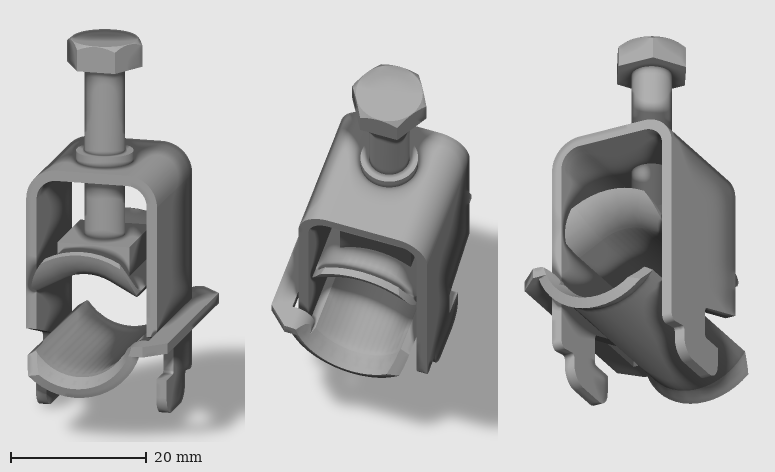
import cadquery as cq
import math

total_height = 56.75
sheet = 1.6

frame_width = 20.0
frame_front = -7.5
frame_back = 12.5
frame_top = 38.1
frame_bend_radius = 4.6
lip_height = 5.6
slot_top = 10.55
slope_front = 13.6
hook_front = -2.0
slot_back = 2.0
hook_back = 8.5
heel_front = 4.35
heel_back = 3.65
hook_radius = 2.8
heel_radius = 1.0
slot_top_radius = 0.85
corner_radius = 0.45

hexagon_half_angle = 30
head_flats = 10.0
head_height = 4.0
head_chamfer_drop = 0.75
head_face_diameter = 9.9
shank_diameter = 6.0
washer_diameter = 8.5
washer_height = 1.55

pad_width = 11.0
pad_length = 13.05
pad_top = 26.85
saddle_sheet = 1.1
saddle_top = 24.2
saddle_arch_radius = 8.85
saddle_arch_angle = 28.0
saddle_half_width = 8.0
saddle_straight = 8.6
rim_radius = 4.35
rim_angle = 75.0
rim_corner_bulge = 0.3

trough_length = 35.0
trough_radius = 9.4
trough_bottom = 7.2
trough_angle = 57.0
flare_start = 14.75
flare_angle = 22.0
tip_cut_angle = 45.0
arm_angle = 88.0
flange_top = 14.9
flange_edge = 13.5
flange_inner_edge = 10.45
flange_chamfer = 3.0
window_half_length = 13.9
flange_bend_end = 9.8
flange_bend_radius = 2.85

OVER = 5.7
REACH = 0.05


def make_frame():
    """Bent U of sheet metal whose two legs share one hooked side outline."""

    def arch_block(inset):
        """Block with rounded upper edges, smaller than the outside of the U by the inset."""
        return (
            cq.Workplane("XZ", origin=(0, frame_back, 0))
            .rect(frame_width - 2 * inset, 2 * (frame_top - inset))
            .extrude(frame_back - frame_front)
            .edges("|Y and >Z")
            .fillet(frame_bend_radius - inset)
        )

    corners = [
        (hook_front, 0),
        (hook_front, lip_height),
        (slot_back, lip_height),
        (slot_back, slot_top),
        (frame_front, slope_front),
        (frame_front, frame_top),
        (frame_back, frame_top),
        (frame_back, heel_back),
        (hook_back, heel_front),
        (hook_back, 0),
    ]
    side = cq.Workplane("YZ").polyline(corners).close().extrude(frame_width / 2, both=True)

    def round_corners(body, points, radius):
        """Fillet the X-parallel edges at the given (Y, Z) corners."""
        for y, z in points:
            near = cq.selectors.BoxSelector((-OVER, y - REACH, z - REACH), (OVER, y + REACH, z + REACH))
            body = body.edges("|X").edges(near).fillet(radius)
        return body

    side = round_corners(side, [(hook_front, 0), (hook_back, 0)], hook_radius)
    side = round_corners(side, [(frame_back, heel_back)], heel_radius)
    side = round_corners(side, [(slot_back, slot_top)], slot_top_radius)
    side = round_corners(side, [(slot_back, lip_height), (hook_back, heel_front)], corner_radius)
    return arch_block(0).cut(arch_block(sheet)).intersect(side)


def make_bolt():
    """Hexagon-head bolt with its washer on top of the frame; it ends on the pad."""
    head_bottom = total_height - head_height
    head_corners = head_flats / math.cos(math.radians(hexagon_half_angle))
    head = cq.Workplane("XY", origin=(0, 0, head_bottom)).polygon(6, head_corners).extrude(head_height)
    chamfer_limit = (
        cq.Workplane("XZ")
        .moveTo(0, head_bottom)
        .lineTo(head_corners / 2, head_bottom)
        .lineTo(head_corners / 2, total_height - head_chamfer_drop)
        .lineTo(head_face_diameter / 2, total_height)
        .lineTo(0, total_height)
        .close()
        .revolve(360, (0, 0), (0, 1))
    )
    shank = (
        cq.Workplane("XY", origin=(0, 0, pad_top))
        .circle(shank_diameter / 2)
        .extrude(head_bottom - pad_top)
    )
    washer = (
        cq.Workplane("XY", origin=(0, 0, frame_top))
        .circle(washer_diameter / 2)
        .extrude(washer_height)
    )
    return head.intersect(chamfer_limit).union(shank).union(washer)


def make_saddle():
    """Arched sheet with rims that curl up at both Y ends, and the pad on top of it."""
    axis_z = saddle_top - saddle_arch_radius
    angle = math.radians(saddle_arch_angle)
    crease_x = saddle_arch_radius * math.sin(angle)
    leg_length = (saddle_half_width - crease_x) / math.cos(angle)
    leg_top_edge_z = axis_z + saddle_arch_radius * math.cos(angle) - leg_length * math.sin(angle)
    curl_z = saddle_top + rim_radius

    def curl_point(side, radius, degrees):
        turn = math.radians(degrees)
        return (side * (saddle_straight + radius * math.sin(turn)), curl_z - radius * math.cos(turn))

    outer = rim_radius + saddle_sheet

    def profile():
        """Lengthwise section of the sheet: straight middle, curled rims."""
        return (
            cq.Workplane("YZ")
            .moveTo(*curl_point(-1, rim_radius, 0))
            .lineTo(*curl_point(1, rim_radius, 0))
            .threePointArc(curl_point(1, rim_radius, rim_angle / 2), curl_point(1, rim_radius, rim_angle))
            .lineTo(*curl_point(1, outer, rim_angle))
            .threePointArc(curl_point(1, outer, rim_angle / 2), curl_point(1, outer, 0))
            .lineTo(*curl_point(-1, outer, 0))
            .threePointArc(curl_point(-1, outer, rim_angle / 2), curl_point(-1, outer, rim_angle))
            .lineTo(*curl_point(-1, rim_radius, rim_angle))
            .threePointArc(curl_point(-1, rim_radius, rim_angle / 2), curl_point(-1, rim_radius, 0))
            .close()
        )

    axis_start = (0, 0, axis_z)
    axis_end = (0, 1, axis_z)
    arch = profile().revolve(2 * saddle_arch_angle, (0, axis_z), (1, axis_z))
    arch = arch.rotate(axis_start, axis_end, -saddle_arch_angle)
    leg = profile().extrude(leg_length).rotate(axis_start, axis_end, saddle_arch_angle)
    saddle = arch.union(leg).union(leg.mirror("YZ"))

    rim_edge_radius = curl_point(1, rim_radius, rim_angle)[1] - axis_z
    corner_top = (rim_edge_radius * math.sin(angle), axis_z + rim_edge_radius * math.cos(angle))
    corner_low = (saddle_half_width, leg_top_edge_z)
    corner_mid = (
        (corner_top[0] + corner_low[0]) / 2 + rim_corner_bulge,
        (corner_top[1] + corner_low[1]) / 2 + rim_corner_bulge / 2,
    )
    corner_cut = (
        cq.Workplane("XZ")
        .moveTo(*corner_top)
        .threePointArc(corner_mid, corner_low)
        .lineTo(saddle_half_width + OVER, leg_top_edge_z)
        .lineTo(saddle_half_width + OVER, total_height)
        .lineTo(corner_top[0], total_height)
        .close()
        .extrude(saddle_straight + outer, both=True)
    )
    saddle = saddle.cut(corner_cut).cut(corner_cut.mirror("YZ"))

    pad_half_width = pad_width / 2
    mid_radius = saddle_arch_radius - saddle_sheet / 2
    mid_crease = (mid_radius * math.sin(angle), axis_z + mid_radius * math.cos(angle))
    pad_edge_z = mid_crease[1] - (pad_half_width - mid_crease[0]) * math.tan(angle)
    pad = (
        cq.Workplane("XZ")
        .moveTo(-mid_crease[0], mid_crease[1])
        .threePointArc((0, axis_z + mid_radius), mid_crease)
        .lineTo(pad_half_width, pad_edge_z)
        .lineTo(pad_half_width, pad_top)
        .lineTo(-pad_half_width, pad_top)
        .lineTo(-pad_half_width, pad_edge_z)
        .close()
        .extrude(pad_length / 2, both=True)
    )
    return saddle.union(pad)


def make_trough():
    """Channel with flared ends, held by two arms to a flange strip beside an open window."""
    trough_half_length = trough_length / 2
    axis_z = trough_bottom + trough_radius
    axis_start = (0, 0, axis_z)
    axis_end = (0, 1, axis_z)
    flare = math.radians(flare_angle)

    def revolved(half_outline, from_angle, to_angle):
        """Revolve a Y-symmetric outline about the trough axis.

        The outline is (Y, depth below the axis); angles run from straight down towards +X.
        """
        right = [(y, axis_z - depth) for y, depth in half_outline]
        left = [(-y, z) for y, z in reversed(right)]
        outline = cq.Workplane("YZ").polyline(right + left).close()
        body = outline.revolve(to_angle - from_angle, (0, axis_z), (-1, axis_z))
        return body.rotate(axis_start, axis_end, -from_angle)

    bore_radius = trough_radius - sheet
    outer_flare_start = flare_start - sheet * math.tan(flare / 2)
    flare_length = trough_half_length - flare_start
    bore_end_radius = bore_radius + flare_length * math.tan(flare)
    outer_outline = [
        (trough_half_length, 0),
        (trough_half_length, bore_end_radius),
        (trough_half_length - sheet * math.sin(flare), bore_end_radius + sheet * math.cos(flare)),
        (outer_flare_start, trough_radius),
    ]
    bore_outline = [
        (trough_half_length + OVER, 0),
        (trough_half_length + OVER, bore_end_radius + OVER * math.tan(flare)),
        (flare_start, bore_radius),
    ]
    channel = revolved(outer_outline, -trough_angle, trough_angle)
    bore = revolved(bore_outline, 0, 360)

    strip = (
        cq.Workplane("XY", origin=(0, 0, flange_top - sheet))
        .rect(2 * flange_edge, trough_length)
        .extrude(sheet)
        .edges("|Z and >X")
        .chamfer(flange_chamfer)
    )
    bend_start = flange_bend_end - flange_bend_radius
    bend_limit = (
        cq.Workplane("XZ")
        .moveTo(bend_start, 0)
        .lineTo(bend_start, flange_top - flange_bend_radius)
        .radiusArc((flange_bend_end, flange_top), flange_bend_radius)
        .lineTo(flange_edge, flange_top)
        .lineTo(flange_edge, 0)
        .close()
        .extrude(trough_half_length, both=True)
    )
    window = cq.Workplane("XY").rect(2 * flange_inner_edge, 2 * window_half_length).extrude(total_height)
    arms = revolved(outer_outline, 0, arm_angle).union(strip).intersect(bend_limit).cut(window)
    trough = channel.union(arms).cut(bore)

    cut_length = flare_length + OVER
    cut_depth = cut_length * math.tan(math.radians(tip_cut_angle))
    for side in (-1, 1):
        cut_start = side * outer_flare_start
        cut_end = side * (outer_flare_start + cut_length)
        tip_cut = (
            cq.Workplane("XY")
            .polyline([(0, cut_start), (cut_depth, cut_end), (-OVER, cut_end), (-OVER, cut_start)])
            .close()
            .extrude(axis_z - bore_radius / 2)
            .rotate(axis_start, axis_end, trough_angle)
        )
        trough = trough.cut(tip_cut)
    return trough


clamp = make_frame().union(make_bolt()).union(make_saddle())
trough = make_trough()

result = cq.Compound.makeCompound([clamp.val(), trough.val()])